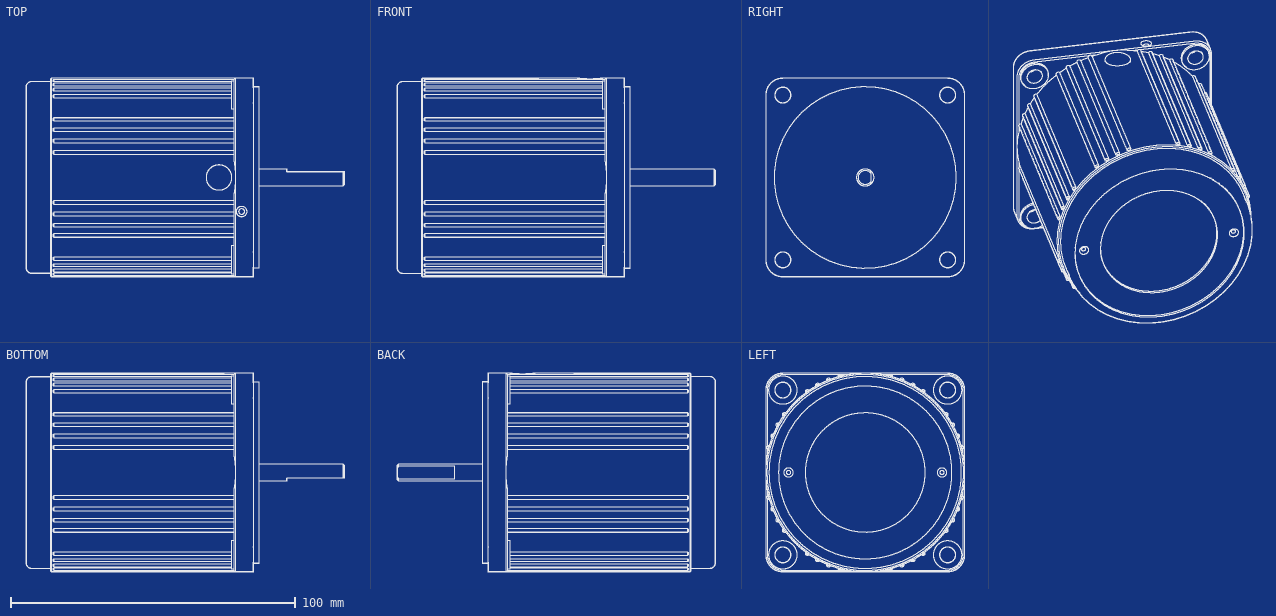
import cadquery as cq
import math

CAP_REAR_X = 0.0
BODY_REAR_X = 8.5
RIB_REAR_X = 9.4
PAD_REAR_X = 72.2
FLANGE_REAR_X = 73.1
FLANGE_FRONT_X = 80.0
PILOT_FRONT_X = 82.0
FLAT_START_X = 91.7
SHAFT_TIP_X = 112.0

CAP_DIA = 67.6
CAP_FILLET = 2.0
RECESS_DIA = 60.9
RECESS_DEPTH = 1.0
CENTER_RECESS_DIA = 42.1
CENTER_RECESS_DEPTH = 1.0
CAP_SCREW_SPACING = 54.0

BODY_DIA = 70.0
BODY_CHAMFER = 0.5

RIB_DIA = 1.5
RIB_CENTER_RADIUS = 35.0
RIB_END_CHAMFER = 0.5
RIB_FIRST_ANGLE = 14.6
RIB_PITCH_ANGLE = 7.0
RIBS_PER_GROUP = 4

FLANGE_SIDE = 70.0
FLANGE_CORNER_RADIUS = 6.0
FLANGE_CHAMFER = 0.6
BOLT_CIRCLE_DIA = 82.0
BOLT_HOLE_DIA = 5.5
PAD_DIA = 10.0
PILOT_DIA = 64.0

SHAFT_DIA = 6.0
SHAFT_CHAMFER = 0.6
SHAFT_FLAT_DEPTH = 1.0

CABLE_HOLE_DIA = 9.0
CABLE_HOLE_X = 67.9
CABLE_HOLE_DEPTH = 9.0

SCREW_HOLE_DIA = 1.5
SCREW_MOUTH_DIA = 3.2
SCREW_HOLE_DEPTH = 4.5
EARTH_SCREW_X = 75.8
EARTH_SCREW_Y = -12.0
EARTH_HOLE_DIA = 2.0
EARTH_MOUTH_DIA = 3.7
COUNTERSINK_ANGLE = 90

BOLT_PITCH = BOLT_CIRCLE_DIA / math.sqrt(2)


def section_plane(x):
    """Plane across the motor axis: local x is Y, local y is Z, normal is +X."""
    return cq.Plane(origin=(x, 0, 0), xDir=(0, 1, 0), normal=(1, 0, 0))


def rod(diameter, start_x, end_x):
    return cq.Workplane(section_plane(start_x)).circle(diameter / 2).extrude(end_x - start_x)


def rods_at_bolts(diameter):
    """Four rods through the flange thickness and pads, one on each bolt axis."""
    return (
        cq.Workplane(section_plane(PAD_REAR_X))
        .rect(BOLT_PITCH, BOLT_PITCH, forConstruction=True)
        .vertices()
        .circle(diameter / 2)
        .extrude(FLANGE_FRONT_X - PAD_REAR_X)
    )


def make_cap():
    """Rear cap with a rounded rim, two stepped recesses and two screw holes."""
    cap = rod(CAP_DIA, CAP_REAR_X, BODY_REAR_X).faces("<X").edges().fillet(CAP_FILLET)
    recess_floor_x = CAP_REAR_X + RECESS_DEPTH
    cap = cap.cut(rod(RECESS_DIA, CAP_REAR_X, recess_floor_x))
    cap = cap.cut(rod(CENTER_RECESS_DIA, recess_floor_x, recess_floor_x + CENTER_RECESS_DEPTH))
    screw_plane = cq.Plane(origin=(recess_floor_x, 0, 0), xDir=(0, -1, 0), normal=(-1, 0, 0))
    return (
        cap.copyWorkplane(cq.Workplane(screw_plane))
        .rarray(CAP_SCREW_SPACING, 1.1, 2, 1)
        .cskHole(SCREW_HOLE_DIA, SCREW_MOUTH_DIA, COUNTERSINK_ANGLE, SCREW_HOLE_DEPTH)
    )


def make_body():
    """Cylinder from the cap through to the flange front, bevelled at the rear."""
    return rod(BODY_DIA, BODY_REAR_X, FLANGE_FRONT_X).faces("<X").edges().chamfer(BODY_CHAMFER)


def make_ribs():
    """Round ribs along the body, bevelled at their rear ends."""
    group = [RIB_FIRST_ANGLE + RIB_PITCH_ANGLE * i for i in range(RIBS_PER_GROUP)]
    mirrored_group = [90 - angle for angle in group]
    angles = [
        math.radians(quadrant_start + angle)
        for quadrant_start in (0, 90, 180, 270)
        for angle in group + mirrored_group
    ]
    centers = [
        (RIB_CENTER_RADIUS * math.cos(angle), RIB_CENTER_RADIUS * math.sin(angle))
        for angle in angles
    ]
    return (
        cq.Workplane(section_plane(RIB_REAR_X))
        .pushPoints(centers)
        .circle(RIB_DIA / 2)
        .extrude(FLANGE_FRONT_X - RIB_REAR_X)
        .faces("<X")
        .edges()
        .chamfer(RIB_END_CHAMFER)
    )


def make_flange():
    """Square plate with raised bolt pads on its rear and a round pilot on its front."""
    plate = (
        cq.Workplane(section_plane(FLANGE_REAR_X))
        .rect(FLANGE_SIDE, FLANGE_SIDE)
        .extrude(FLANGE_FRONT_X - FLANGE_REAR_X)
        .edges("|X")
        .fillet(FLANGE_CORNER_RADIUS)
        .faces("<X")
        .edges()
        .chamfer(FLANGE_CHAMFER)
    )
    pads = rods_at_bolts(PAD_DIA)
    pilot = rod(PILOT_DIA, FLANGE_FRONT_X, PILOT_FRONT_X)
    return plate.union(pads).union(pilot)


def make_shaft():
    """Output shaft with a flat on its +Y side."""
    shaft = rod(SHAFT_DIA, PILOT_FRONT_X, SHAFT_TIP_X).faces(">X").edges().chamfer(SHAFT_CHAMFER)
    flat = cq.Workplane("XY").box(
        SHAFT_TIP_X - FLAT_START_X, SHAFT_DIA, SHAFT_DIA, centered=(False, False, True)
    )
    return shaft.cut(flat.translate((FLAT_START_X, SHAFT_DIA / 2 - SHAFT_FLAT_DEPTH, 0)))


def cable_hole():
    top = cq.Workplane("XY", origin=(CABLE_HOLE_X, 0, BODY_DIA / 2))
    return top.circle(CABLE_HOLE_DIA / 2).extrude(-CABLE_HOLE_DEPTH)


motor = make_cap().union(make_body()).union(make_ribs()).union(make_flange()).union(make_shaft())
motor = motor.cut(rods_at_bolts(BOLT_HOLE_DIA)).cut(cable_hole())
result = (
    motor.copyWorkplane(cq.Workplane("XY", origin=(EARTH_SCREW_X, EARTH_SCREW_Y, FLANGE_SIDE / 2)))
    .cskHole(EARTH_HOLE_DIA, EARTH_MOUTH_DIA, COUNTERSINK_ANGLE, SCREW_HOLE_DEPTH)
)